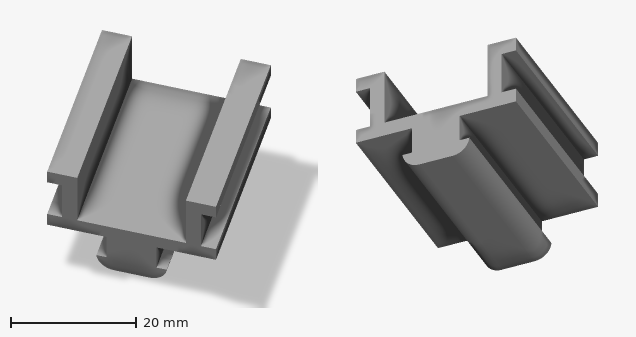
import cadquery as cq

length = 32.0
rail_width = 28.0
total_height = 19.87

plate = 2.5
flange_overhang = 2.5
rail_height = 12.45

stem_width = 8.3
head_width = 11.68
head_height = 2.7
head_radius = 2.95

rail_bottom = total_height - rail_height
stem_height = rail_bottom - head_height
floor_top = rail_bottom + plate
wall_outer = rail_width / 2 - flange_overhang
wall_inner = wall_outer - plate


def box_between(x_min, x_max, z_min, height):
    """Full-length bar spanning x_min to x_max, standing on z_min."""
    return cq.Workplane("XY").box(
        x_max - x_min, length, height, centered=(False, True, False)
    ).translate((x_min, 0, z_min))


def make_rail():
    """Channel with flanged walls and the stem below its floor."""
    half_width = rail_width / 2
    rail = box_between(-half_width, half_width, rail_bottom, plate)
    stem = box_between(-stem_width / 2, stem_width / 2, head_height, stem_height)
    wall = box_between(wall_inner, wall_outer, floor_top, total_height - floor_top)
    flange = box_between(wall_inner, half_width, total_height - plate, plate)
    side = wall.union(flange)
    return rail.union(stem).union(side).union(side.mirror("YZ"))


def make_head():
    """Bar under the stem with a flat top and arc-shaped lower edges."""
    half_width = head_width / 2
    rise = head_radius - head_height
    arc_width = (head_radius**2 - rise**2) ** 0.5
    flat_half = half_width - arc_width
    chord = (arc_width**2 + head_height**2) ** 0.5
    mid_x = flat_half + head_radius * head_height / chord
    mid_z = head_radius - head_radius * arc_width / chord
    return (
        cq.Workplane("XZ")
        .moveTo(-half_width, head_height)
        .lineTo(half_width, head_height)
        .threePointArc((mid_x, mid_z), (flat_half, 0))
        .lineTo(-flat_half, 0)
        .threePointArc((-mid_x, mid_z), (-half_width, head_height))
        .close()
        .extrude(length / 2, both=True)
    )


rail = make_rail()
head = make_head()

result = cq.Compound.makeCompound([rail.val(), head.val()])